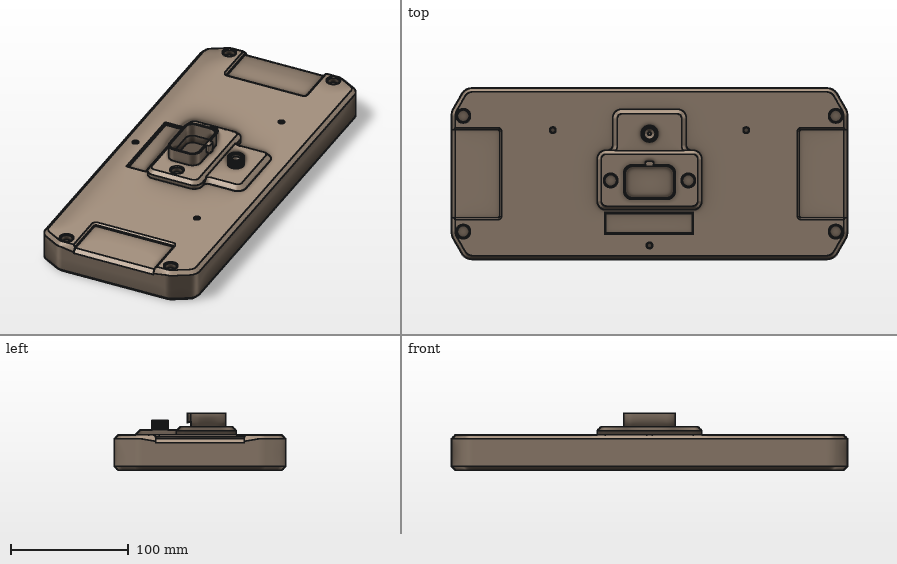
import cadquery as cq
import math

length = 336.7
width = 145.8
housing_height = 30.0
edge_chamfer = 3.5
end_flat = 105.0
corner_cut_angle = 30.0
corner_round = 10.5
end_round = 12.0

high_length, high_width, high_height = 89.0, 51.0, 7.0
high_y = -5.5
high_round = 7.7
low_length, low_height = 62.5, 4.5
low_back_y = 55.0
low_round = 7.7
high_chamfer = 3.5
low_chamfer = 4.0
inner_corner_round = 4.0

shell_length, shell_width, shell_height = 44.0, 29.5, 11.5
shell_y = -7.0
shell_round = 7.7
shell_wall = 1.5
key_width, key_reach, key_height = 7.0, 3.0, 8.0
key_slope = 1.5
key_round = 1.7

socket_y = 34.0
socket_radius, socket_height = 7.0, 8.0
bore_radius, bore_rim, bore_depth = 4.7, 1.0, 3.5
bore_tip_radius, bore_tip_depth = 1.5, 2.7

thread_pitch, thread_depth = 1.0, 0.5

grip_length, grip_width, grip_depth = 42.8, 78.5, 3.0
grip_rim, grip_round = 1.7, 3.7
flare_drop = 2.0
label_length, label_width, label_depth = 75.5, 18.5, 2.0
label_rim = 1.0
label_x, label_y = -0.5, -42.0

screw_radius, screw_depth, screw_rim = 5.0, 5.5, 1.0
housing_screw_x, housing_screw_y = 158.2, 49.0
plate_screw_x, plate_screw_y = 33.0, -5.7
tapped_radius, tapped_depth = 2.7, 6.0
tapped_points = [(-82.0, 37.0), (82.0, 37.0), (0, -61.0)]

plate_top = housing_height + high_height
low_top = housing_height + low_height
overrun = 6.7


def level(z):
    return cq.Workplane("XY").workplane(offset=z)


def rimmed_pocket(pocket_length, pocket_width, depth, rim, corner, top):
    """Rectangular pocket shape with a sloping rim; the sizes are those of its mouth."""
    floor_outline = level(top - depth).rect(pocket_length - 2 * rim, pocket_width - 2 * rim)
    straight = floor_outline.extrude(depth)
    if corner > rim:
        straight = straight.edges("|Z").fillet(corner - rim)
    mouth = cq.Sketch().rect(pocket_length, pocket_width)
    if corner > 0:
        mouth = mouth.vertices().fillet(corner)
    slope = level(top).placeSketch(mouth).extrude(-rim, taper=45)
    return straight.union(slope)


def rimmed_hole(points, top):
    """Blind screw holes with a chamfered rim."""
    bores = level(top).pushPoints(points).circle(screw_radius).extrude(-screw_depth)
    rims = level(top).pushPoints(points).circle(screw_radius + screw_rim).extrude(-screw_rim, taper=45)
    return bores.union(rims)


def thread_points(crest_radius, height):
    """Radius and height pairs of a stack of V-shaped thread rings, from the foot up."""
    root_radius = crest_radius - thread_depth
    points = [(root_radius, 0)]
    for turn in range(round(height / thread_pitch)):
        foot = turn * thread_pitch
        points += [(crest_radius, foot + thread_pitch / 2), (root_radius, foot + thread_pitch)]
    return points


def tapped_holes():
    outline = [(0, 0)] + thread_points(tapped_radius, tapped_depth) + [(0, tapped_depth)]
    hole = cq.Workplane("XZ").polyline(outline).close().revolve(360, (0, 0), (0, 1)).val()
    foot = housing_height - tapped_depth
    return level(foot).pushPoints(tapped_points).eachpoint(hole, combine=False)


def chamfer_flare(x_side, y_side):
    """Sliver that widens the end chamfer gradually from the corner round to a grip recess."""
    end_x, top_x = x_side * length / 2, x_side * (length / 2 - edge_chamfer)
    start_y = y_side * (end_flat / 2 - end_round * math.tan(math.radians(corner_cut_angle / 2)))
    stop_y = y_side * (grip_width / 2 - grip_rim)
    low_z = housing_height - edge_chamfer
    start_top = cq.Vector(top_x, start_y, housing_height)
    start = cq.Vector(end_x, start_y, low_z)
    stop_top = cq.Vector(top_x, stop_y, housing_height)
    stop = cq.Vector(end_x, stop_y, low_z)
    stop_low = cq.Vector(end_x, stop_y, low_z - flare_drop)
    flat_faces = [
        cq.Face.makeFromWires(cq.Wire.makePolygon(corners, close=True))
        for corners in (
            (start_top, stop_top, stop, start),
            (stop_top, stop, stop_low),
            (start, stop, stop_low),
        )
    ]
    twisted_face = cq.Face.makeRuledSurface(
        cq.Edge.makeLine(start_top, stop_top),
        cq.Edge.makeLine(start, stop_low),
    )
    return cq.Workplane(cq.Solid.makeSolid(cq.Shell.makeShell(flat_faces + [twisted_face])))


def make_housing():
    half_length, half_width, half_end = length / 2, width / 2, end_flat / 2
    cut_length = (half_width - half_end) * math.tan(math.radians(corner_cut_angle))
    side_end = half_length - cut_length
    outline = [
        (half_length, half_end), (side_end, half_width),
        (-side_end, half_width), (-half_length, half_end),
        (-half_length, -half_end), (-side_end, -half_width),
        (side_end, -half_width), (half_length, -half_end),
    ]
    housing = cq.Workplane("XY").polyline(outline).close().extrude(housing_height)
    for y_side in (-1, 1):
        for x_side in (-1, 1):
            for x, y, radius in ((side_end, half_width, corner_round), (half_length, half_end, end_round)):
                corner = cq.selectors.NearestToPointSelector((x_side * x, y_side * y, housing_height / 2))
                housing = housing.edges("|Z").edges(corner).fillet(radius)
    housing = housing.faces("<Z or >Z").chamfer(edge_chamfer)

    floor = housing_height - grip_depth
    recess_length = grip_length + overrun
    centre = half_length + overrun - recess_length / 2
    recess = rimmed_pocket(recess_length, grip_width, grip_depth, grip_rim, grip_round, housing_height)
    for x_side in (-1, 1):
        housing = housing.cut(recess.translate((x_side * centre, 0, 0)))
        wedge = (
            cq.Workplane("XZ")
            .polyline([
                (x_side * (half_length - edge_chamfer), floor),
                (x_side * half_length, floor),
                (x_side * half_length, floor - edge_chamfer),
            ])
            .close()
            .extrude(grip_width / 2 - grip_rim, both=True)
        )
        housing = housing.cut(wedge)
        for y_side in (-1, 1):
            housing = housing.cut(chamfer_flare(x_side, y_side))

    label = rimmed_pocket(label_length, label_width, label_depth, label_rim, 0, housing_height)
    housing = housing.cut(label.translate((label_x, label_y, 0)))

    screw_points = [(x * housing_screw_x, y * housing_screw_y) for x in (-1, 1) for y in (-1, 1)]
    housing = housing.cut(rimmed_hole(screw_points, housing_height))
    return housing.cut(tapped_holes())


def make_plate():
    back = (
        level(housing_height)
        .center(0, (high_y + low_back_y) / 2)
        .rect(low_length, low_back_y - high_y)
        .extrude(low_height)
        .edges("|Z and >Y").fillet(low_round)
    )
    foot = (
        level(housing_height)
        .center(0, high_y)
        .rect(high_length, high_width)
        .extrude(low_height)
        .edges("|Z").fillet(high_round)
    )
    low = back.union(foot)
    for x_side in (-1, 1):
        junction = (x_side * low_length / 2, high_y + high_width / 2, housing_height + low_height / 2)
        low = low.edges("|Z").edges(cq.selectors.NearestToPointSelector(junction)).fillet(inner_corner_round)
    low = low.faces(">Z").chamfer(low_chamfer)
    high = (
        level(housing_height)
        .center(0, high_y)
        .rect(high_length, high_width)
        .extrude(high_height)
        .edges("|Z").fillet(high_round)
        .faces(">Z").chamfer(high_chamfer)
    )
    plate = low.union(high)
    opening = (
        level(housing_height)
        .center(0, shell_y)
        .rect(shell_length - 2 * shell_wall, shell_width - 2 * shell_wall)
        .extrude(high_height)
        .edges("|Z").fillet(shell_round - shell_wall)
    )
    screw_points = [(x * plate_screw_x, plate_screw_y) for x in (-1, 1)]
    return plate.cut(opening).cut(rimmed_hole(screw_points, plate_top))


def make_shell():
    shell = (
        level(plate_top)
        .center(0, shell_y)
        .rect(shell_length, shell_width)
        .extrude(shell_height)
        .edges("|Z").fillet(shell_round)
        .faces("<Z or >Z").shell(-shell_wall)
    )
    back = shell_y + shell_width / 2
    top = plate_top + shell_height
    key = (
        cq.Workplane("YZ")
        .polyline([
            (back - shell_wall / 2, top),
            (back + key_reach, top),
            (back + key_reach, top - key_height),
            (back - shell_wall / 2, top - key_height + key_slope),
        ])
        .close()
        .extrude(key_width / 2, both=True)
        .edges("|Z and >Y").fillet(key_round)
    )
    return shell.union(key)


def make_socket():
    tip_z = socket_height - bore_depth - bore_tip_depth
    outline = [(0, 0)] + thread_points(socket_radius, socket_height) + [
        (bore_radius + bore_rim, socket_height),
        (bore_radius, socket_height - bore_rim),
        (bore_radius, socket_height - bore_depth),
        (bore_tip_radius, tip_z),
        (0, tip_z),
    ]
    socket = cq.Workplane("XZ").polyline(outline).close().revolve(360, (0, 0), (0, 1))
    return socket.translate((0, socket_y, low_top))


housing = make_housing()
plate = make_plate()
shell = make_shell()
socket = make_socket()

result = cq.Compound.makeCompound([housing.val(), plate.val(), shell.val(), socket.val()])